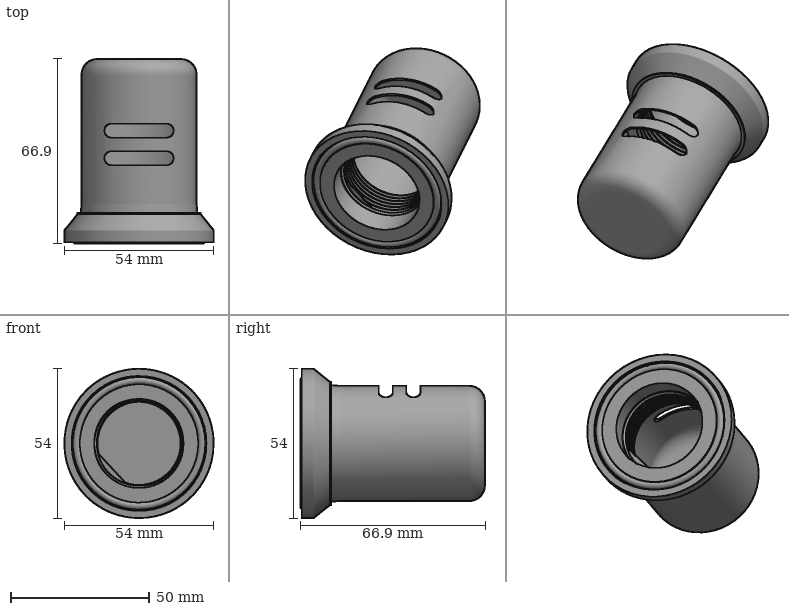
import cadquery as cq
import math

TOP_Y = 33.45
SEAL_TIP_Y = -33.45

SEAL_PROTRUSION = 0.55
FLANGE_FRONT_Y = SEAL_TIP_Y + SEAL_PROTRUSION
FLANGE_RADIUS = 27.0
FLANGE_RIM = 4.4
FLANGE_HEIGHT = 10.7
FLANGE_TOP_RADIUS = 22.35
FLANGE_TOP_STEP = 0.5
FLANGE_RIM_FILLET = 0.6
FLANGE_TOP_Y = FLANGE_FRONT_Y + FLANGE_HEIGHT
BORE_RADIUS = 16.1

SEAL_SECTION_RADIUS = 1.3
SEAL_INNER_RADIUS = 21.4
SEAL_CENTER_RADIUS = SEAL_INNER_RADIUS + SEAL_SECTION_RADIUS
GROOVE_OUTER_RADIUS = 24.4
GROOVE_DEPTH = 2 * SEAL_SECTION_RADIUS - SEAL_PROTRUSION

COVER_RADIUS = 20.9
COVER_WALL = 0.75
COVER_INNER_RADIUS = COVER_RADIUS - COVER_WALL
DOME_FILLET = 5.75
LIP_RADIUS = 21.15
LIP_HEIGHT = 3.15

SLOT_LENGTH = 25.0
SLOT_WIDTH = 5.0
SLOT_PITCH = 9.95
SLOT_MIDDLE_Y = 2.55

RING_INSET = 9.1
RING_FRONT_Y = FLANGE_FRONT_Y + RING_INSET
RING_LENGTH = 12.05
THREAD_FRONT_RADIUS = 15.3
THREAD_END_RADIUS = 15.0
THREAD_DEPTH = 1.0
THREAD_PITCH = 1.8
THREAD_CREST = 0.3
THREAD_LEAD = 1.0
THREAD_LEAD_TURNS = 2
THREAD_OVERLAP = 0.2
RING_CHAMFER = BORE_RADIUS - THREAD_FRONT_RADIUS


def cylinder(radius, start_y, end_y):
    """Solid cylinder about the Y axis between two Y positions."""
    disc = cq.Workplane("XZ", origin=(0, start_y, 0)).circle(radius)
    return disc.extrude(start_y - end_y)


def cone(start_radius, end_radius, start_y, length):
    """Solid cone frustum about the Y axis."""
    start = cq.Vector(0, start_y, 0)
    return cq.Workplane(obj=cq.Solid.makeCone(start_radius, end_radius, length, start, cq.Vector(0, 1, 0)))


def revolve_about_y(profile):
    """Full turn of a closed (radius, y) profile about the Y axis."""
    return profile.revolve(360, (0, 0, 0), (0, 1, 0))


def make_seal_groove():
    """Annular groove in the flange face; the seal rests on its floor and inner wall."""
    floor_y = FLANGE_FRONT_Y + GROOVE_DEPTH
    groove = cylinder(GROOVE_OUTER_RADIUS, FLANGE_FRONT_Y, floor_y)
    return groove.cut(cylinder(SEAL_INNER_RADIUS, FLANGE_FRONT_Y, floor_y))


def make_flange():
    """Tapered base flange with a through bore, a seal groove and a seat for the threaded ring."""
    rim_y = FLANGE_FRONT_Y + FLANGE_RIM
    body = revolve_about_y(
        cq.Workplane("XY")
        .moveTo(0, FLANGE_FRONT_Y)
        .lineTo(FLANGE_RADIUS, FLANGE_FRONT_Y)
        .lineTo(FLANGE_RADIUS, rim_y)
        .lineTo(FLANGE_TOP_RADIUS, FLANGE_TOP_Y - FLANGE_TOP_STEP)
        .lineTo(FLANGE_TOP_RADIUS, FLANGE_TOP_Y)
        .lineTo(0, FLANGE_TOP_Y)
        .close()
    )
    rim_edge = cq.selectors.NearestToPointSelector((0, rim_y, 0))
    body = body.edges("%CIRCLE").edges(rim_edge).fillet(FLANGE_RIM_FILLET)
    groove = make_seal_groove()
    bore = cylinder(BORE_RADIUS, FLANGE_FRONT_Y, FLANGE_TOP_Y)
    ring_seat = cylinder(COVER_INNER_RADIUS, RING_FRONT_Y, FLANGE_TOP_Y)
    return body.cut(groove).cut(bore).cut(ring_seat)


def make_seal():
    """Round-section sealing ring standing slightly proud of the flange face."""
    section = cq.Workplane("XY").center(SEAL_CENTER_RADIUS, SEAL_TIP_Y + SEAL_SECTION_RADIUS)
    return section.circle(SEAL_SECTION_RADIUS).revolve(
        360, (-SEAL_CENTER_RADIUS, 0, 0), (-SEAL_CENTER_RADIUS, 1, 0)
    )


def make_cover():
    """Thin domed shell with a slightly flared lip and two vent slots."""
    outside = cylinder(COVER_RADIUS, FLANGE_TOP_Y, TOP_Y).faces(">Y").edges().fillet(DOME_FILLET)
    lip = revolve_about_y(
        cq.Workplane("XY")
        .moveTo(0, FLANGE_TOP_Y)
        .lineTo(LIP_RADIUS, FLANGE_TOP_Y)
        .lineTo(COVER_RADIUS, FLANGE_TOP_Y + LIP_HEIGHT)
        .lineTo(0, FLANGE_TOP_Y + LIP_HEIGHT)
        .close()
    )
    cavity = cylinder(COVER_INNER_RADIUS, FLANGE_TOP_Y, TOP_Y - COVER_WALL)
    cavity = cavity.faces(">Y").edges().fillet(DOME_FILLET - COVER_WALL)
    cover = outside.union(lip).cut(cavity)
    for side in (-1, 1):
        slot_y = SLOT_MIDDLE_Y + side * SLOT_PITCH / 2
        slot = cq.Workplane("XY").center(0, slot_y).slot2D(SLOT_LENGTH, SLOT_WIDTH)
        cover = cover.cut(slot.extrude(COVER_RADIUS))
    return cover


def make_thread_groove():
    """Helical V groove with the bore's taper, running past both ends of the threaded ring."""
    start_y = RING_FRONT_Y + THREAD_LEAD - THREAD_LEAD_TURNS * THREAD_PITCH
    length = RING_LENGTH + (THREAD_LEAD_TURNS + 1) * THREAD_PITCH
    slope = (THREAD_FRONT_RADIUS - THREAD_END_RADIUS) / RING_LENGTH
    start_radius = THREAD_FRONT_RADIUS + slope * (RING_FRONT_Y - start_y)
    half_width = (THREAD_PITCH - THREAD_CREST) / 2 * (1 + THREAD_OVERLAP / THREAD_DEPTH)
    helix = cq.Wire.makeHelix(THREAD_PITCH, length, start_radius, angle=-math.degrees(math.atan(slope)))
    groove = (
        cq.Workplane("XZ")
        .moveTo(start_radius - THREAD_OVERLAP, -half_width)
        .lineTo(start_radius + THREAD_DEPTH, 0)
        .lineTo(start_radius - THREAD_OVERLAP, half_width)
        .close()
        .sweep(cq.Workplane(obj=helix), isFrenet=True)
    )
    return groove.rotate((0, 0, 0), (1, 0, 0), -90).translate((0, start_y, 0))


def make_threaded_ring():
    """Ring with a tapered internal thread and a chamfered entry as wide as the flange bore."""
    ring = cylinder(COVER_INNER_RADIUS, RING_FRONT_Y, RING_FRONT_Y + RING_LENGTH)
    bore = cone(THREAD_FRONT_RADIUS, THREAD_END_RADIUS, RING_FRONT_Y, RING_LENGTH)
    lead_in = cone(BORE_RADIUS, THREAD_FRONT_RADIUS, RING_FRONT_Y, RING_CHAMFER)
    return ring.cut(bore).cut(make_thread_groove()).cut(lead_in)


flange = make_flange()
seal = make_seal()
cover = make_cover()
threaded_ring = make_threaded_ring()

result = cq.Compound.makeCompound([flange.val(), seal.val(), cover.val(), threaded_ring.val()])